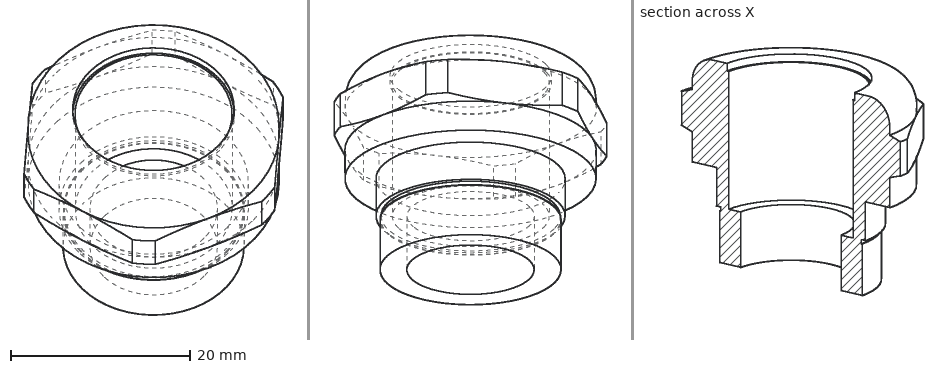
import cadquery as cq

total_height = 23.5
groove_bottom = 6.05
collar_bottom = 6.5
flange_bottom = 11.0
hex_bottom = 14.5
hex_top = 19.5

spigot_diameter = 20.2
groove_diameter = 20.0
collar_diameter = 21.1
body_diameter = 28.0
crown_radius = 3.0

hex_across_flats = body_diameter
hex_corner_diameter = 31.0
hex_corner_drop = 0.5

rim_bore_diameter = 18.0
rim_bore_depth = 0.9
main_bore_diameter = 17.5
main_bore_floor = collar_bottom
through_hole_diameter = 14.2


def cylinder(diameter, bottom, top):
    """Vertical cylinder on the part axis between two heights."""
    return cq.Workplane("XY").workplane(offset=bottom).circle(diameter / 2).extrude(top - bottom)


def make_outer_body():
    """Spigot, relief groove, collar and round body with a rounded crown."""
    spigot = cylinder(spigot_diameter, 0, groove_bottom)
    groove = cylinder(groove_diameter, groove_bottom, collar_bottom)
    collar = cylinder(collar_diameter, collar_bottom, flange_bottom)
    body = cylinder(body_diameter, flange_bottom, total_height)
    body = body.faces(">Z").edges().fillet(crown_radius)
    return spigot.union(groove).union(collar).union(body)


def make_hexagon():
    """Hexagon with two flats facing X, cut to a turned blank with conical ends."""
    prism = (
        cq.Workplane("XY")
        .workplane(offset=hex_bottom)
        .polygon(6, hex_across_flats, circumscribed=True)
        .extrude(hex_top - hex_bottom)
    )
    flat_radius = hex_across_flats / 2
    corner_radius = hex_corner_diameter / 2
    turned_blank = (
        cq.Workplane("XZ")
        .moveTo(0, hex_bottom)
        .lineTo(flat_radius, hex_bottom)
        .lineTo(corner_radius, hex_bottom + hex_corner_drop)
        .lineTo(corner_radius, hex_top - hex_corner_drop)
        .lineTo(flat_radius, hex_top)
        .lineTo(0, hex_top)
        .close()
        .revolve(360, (0, 0, 0), (0, 1, 0))
    )
    return prism.intersect(turned_blank)


def make_bore():
    """Through hole, wider main bore above it and a shallow recess at the rim."""
    through_hole = cylinder(through_hole_diameter, 0, total_height)
    main_bore = cylinder(main_bore_diameter, main_bore_floor, total_height)
    rim_bore = cylinder(rim_bore_diameter, total_height - rim_bore_depth, total_height)
    return through_hole.union(main_bore).union(rim_bore)


result = make_outer_body().union(make_hexagon()).cut(make_bore())